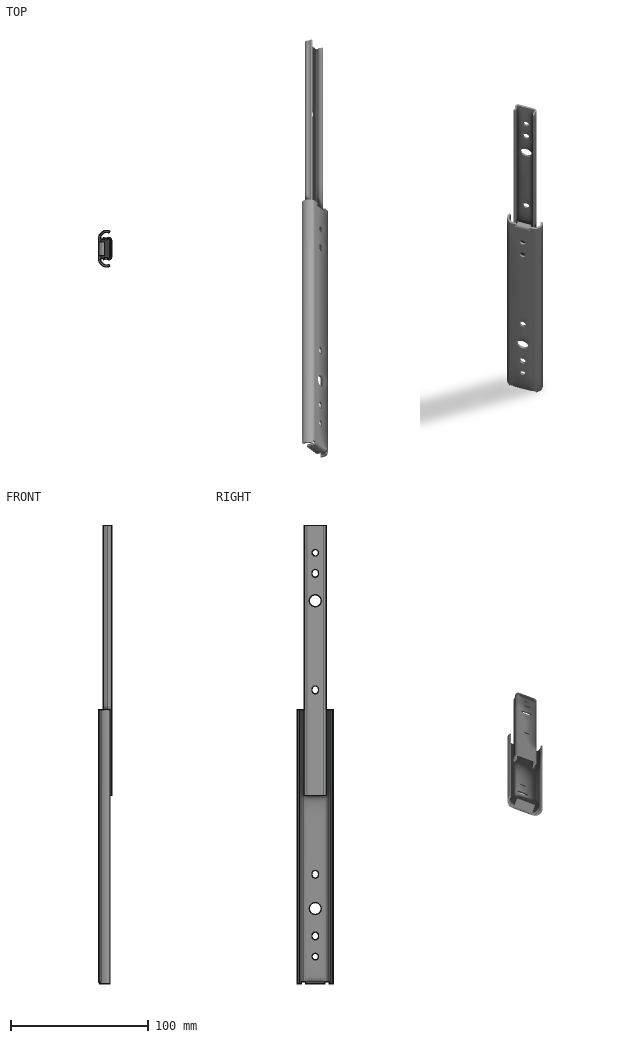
import cadquery as cq
import math

slide_depth = 9.5
total_height = 334.4

outer_thickness = 1.5
outer_length = 200.0
outer_web_half = 8.5
outer_bend_radius = 3.0
outer_bend_angle = 45.0
outer_slope_length = 1.86
curl_radius = 5.0
curl_angle = 75.0

inner_thickness = 1.2
inner_length = 197.0
inner_half_width = 8.15
inner_bend_radius = 2.13
inner_bend_angle = 120.0
groove_radius = 1.9
groove_angle = 50.0
inner_lip_length = 1.3

tab_bend_radius = 1.6
bottom_tab_half_width = 7.0
bottom_tab_reach = 7.9
bottom_relief_half_width = 10.1
bottom_relief_depth = 3.0
top_tab_half_width = 5.0
top_tab_reach = 4.2
top_tab_height = 198.3
top_relief_half_width = 5.7

screw_diameter = 4.5
slot_length = 5.5
outer_screw_heights = [20.0, 180.0]
outer_slot_heights = [35.0, 80.0, 165.0]
inner_screw_drops = [20.0]
inner_slot_drops = [35.0, 120.0]

access_distance = 55.0
access_diameter = 8.5


def strip(plane, start, heading, steps, thickness):
    """Closed section of bent sheet, on the left of a path.

    Each step is (length, 0) for a straight or (radius, angle) for a bend, where a positive
    angle turns left. The headings are in degrees from the first axis of the plane.
    """

    def ahead(point, direction, distance):
        turn = math.radians(direction)
        return (point[0] + distance * math.cos(turn), point[1] + distance * math.sin(turn))

    def left_side(point, direction):
        return ahead(point, direction + 90, thickness)

    point = start
    stations = []
    beginnings = []
    for size, angle in steps:
        beginnings.append((point, heading))
        if angle == 0:
            middle = (ahead(point, heading, size / 2), heading)
            point = ahead(point, heading, size)
        else:
            side = math.copysign(90, angle)
            centre = ahead(point, heading + side, size)
            middle = (ahead(centre, heading - side + angle / 2, size), heading + angle / 2)
            point = ahead(centre, heading - side + angle, size)
            heading += angle
        stations.append((middle, (point, heading), angle))

    section = cq.Workplane(plane).moveTo(*start)
    for middle, end, angle in stations:
        if angle == 0:
            section = section.lineTo(*end[0])
        else:
            section = section.threePointArc(middle[0], end[0])

    section = section.lineTo(*left_side(*stations[-1][1]))
    for (middle, _, angle), begin in zip(reversed(stations), reversed(beginnings)):
        if angle == 0:
            section = section.lineTo(*left_side(*begin))
        else:
            section = section.threePointArc(left_side(*middle), left_side(*begin))
    return section.close()


def block(x_range, half_width, z_range):
    """Box symmetric about Y = 0."""
    depth = x_range[1] - x_range[0]
    height = z_range[1] - z_range[0]
    solid = cq.Workplane("XY").box(depth, 2 * half_width, height, centered=(False, True, False))
    return solid.translate((x_range[0], 0, z_range[0]))


def round_hole(height, diameter):
    """Cutter for a round hole along X through the whole slide."""
    return cq.Workplane("YZ").center(0, height).circle(diameter / 2).extrude(slide_depth)


def upright_slot(height):
    """Cutter for a screw slot along X, longer in Z than it is wide."""
    return cq.Workplane("YZ").center(0, height).slot2D(slot_length, screw_diameter, 90).extrude(slide_depth)


def cut_holes(body, screw_heights, slot_heights, access_height):
    for height in screw_heights:
        body = body.cut(round_hole(height, screw_diameter))
    for height in slot_heights:
        body = body.cut(upright_slot(height))
    return body.cut(round_hole(access_height, access_diameter))


def rail(half_section, length, base_height):
    """Rail made of a half section and its mirror image across Y = 0."""
    half = half_section.extrude(length).translate((0, 0, base_height))
    return half.union(half.mirror("XZ"))


def tab(section, half_width):
    """Stop of constant section, centred on Y = 0."""
    return section.extrude(half_width, both=True)


def make_outer_rail():
    steps = [
        (outer_web_half, 0),
        (outer_bend_radius, outer_bend_angle),
        (outer_slope_length, 0),
        (curl_radius, curl_angle),
    ]
    body = rail(strip("XY", (0, 0), -90, steps, outer_thickness), outer_length, 0)

    body = body.cut(block((0, bottom_relief_depth), bottom_relief_half_width, (0, tab_bend_radius)))
    bottom_steps = [(tab_bend_radius, 90), (bottom_tab_reach - tab_bend_radius, 0)]
    bottom_section = strip("XZ", (0, tab_bend_radius), -90, bottom_steps, outer_thickness)
    body = body.union(tab(bottom_section, bottom_tab_half_width))

    bend_start = top_tab_height - tab_bend_radius
    web = (0, outer_thickness)
    body = body.cut(block(web, top_tab_half_width, (bend_start, outer_length)))
    body = body.cut(block(web, top_relief_half_width, (bend_start, top_tab_height)))
    top_steps = [(top_tab_reach - tab_bend_radius, 0), (tab_bend_radius, 90)]
    top_section = strip("XZ", (top_tab_reach, top_tab_height), 180, top_steps, outer_thickness)
    body = body.union(tab(top_section, top_tab_half_width))

    return cut_holes(body, outer_screw_heights, outer_slot_heights, access_distance)


def make_inner_rail():
    steps = [
        (inner_half_width - inner_bend_radius, 0),
        (inner_bend_radius, inner_bend_angle),
        (groove_radius, -groove_angle),
        (inner_lip_length, 0),
    ]
    section = strip("XY", (slide_depth, 0), 90, steps, inner_thickness)
    body = rail(section, inner_length, total_height - inner_length)
    screw_heights = [total_height - drop for drop in inner_screw_drops]
    slot_heights = [total_height - drop for drop in inner_slot_drops]
    return cut_holes(body, screw_heights, slot_heights, total_height - access_distance)


outer_rail = make_outer_rail()
inner_rail = make_inner_rail()

result = cq.Compound.makeCompound([outer_rail.val(), inner_rail.val()])